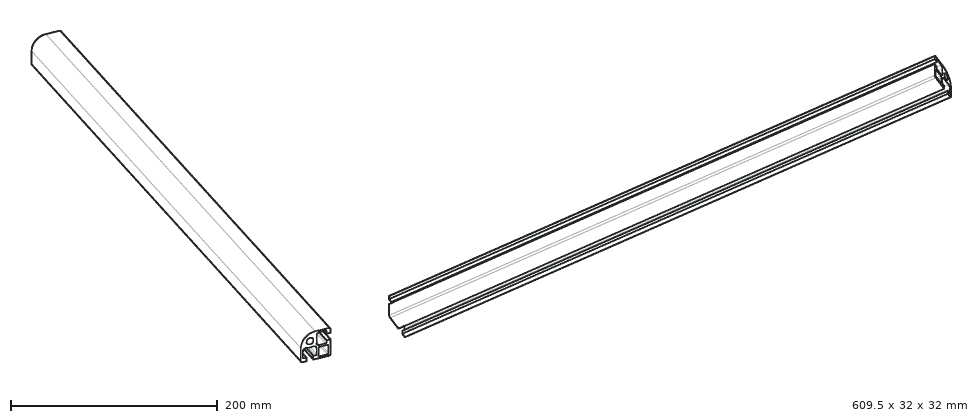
import cadquery as cq
import math

length = 609.5
side = 32.0
wall = 2.2
edge_radius = 2.0

corner_radius = 15.0
arc_center = side - corner_radius

chamber_end = 13.0
cavity_start = chamber_end + wall
cavity_end = side - wall
cavity_radius = 3.0
chamber_radius = 1.0

lip_depth = 4.0
lip_radius = 1.0
slot_width = 7.5
slot_center = 22.0
bore_diameter = 7.5
overcut = 6.0


def place(across, up):
    """Turn section coordinates into centred Y and Z."""
    return (side / 2 - across, up - side / 2)


def extrude_outline(points):
    """Extrude a closed polygon given in section coordinates along the whole length."""
    outline = [place(across, up) for across, up in points]
    return cq.Workplane("YZ").workplane(offset=-length / 2).polyline(outline).close().extrude(length)


def swap_axes(points):
    """Mirror section points about the diagonal."""
    return [(up, across) for across, up in points]


def rectangle(across_min, up_min, across_max, up_max):
    return [(across_min, up_min), (across_max, up_min), (across_max, up_max), (across_min, up_max)]


def make_body():
    """Square bar with one large rounded corner and small radii on the other edges."""
    arc_middle = arc_center + corner_radius * math.sqrt(0.5)
    sharp_body = (
        cq.Workplane("YZ")
        .workplane(offset=-length / 2)
        .moveTo(*place(0, 0))
        .lineTo(*place(0, side))
        .lineTo(*place(arc_center, side))
        .threePointArc(place(arc_middle, arc_middle), place(side, arc_center))
        .lineTo(*place(side, 0))
        .close()
        .extrude(length)
    )
    rounded_body = sharp_body.edges("|X and >Y").fillet(edge_radius)
    return rounded_body.edges("|X and <Z").edges("<Y").fillet(edge_radius)


slot_cavity = rectangle(lip_depth, cavity_start, cavity_start, cavity_end)
slot_mouth = rectangle(
    -overcut, slot_center - slot_width / 2, lip_depth + wall, slot_center + slot_width / 2
)

result = make_body()

side_cavity = (
    extrude_outline(slot_cavity)
    .edges("|X and <Y")
    .fillet(cavity_radius)
    .edges("|X and >Y")
    .fillet(lip_radius)
)
bottom_cavity = (
    extrude_outline(swap_axes(slot_cavity))
    .edges("|X and >Z")
    .fillet(cavity_radius)
    .edges("|X and <Z")
    .fillet(lip_radius)
)
result = result.cut(side_cavity).cut(bottom_cavity)
result = result.cut(extrude_outline(slot_mouth)).cut(extrude_outline(swap_axes(slot_mouth)))

chamber = extrude_outline(rectangle(wall, wall, chamber_end, chamber_end))
result = result.cut(chamber.edges("|X").fillet(chamber_radius))

bore = (
    cq.Workplane("YZ")
    .workplane(offset=-length / 2)
    .center(*place(slot_center, slot_center))
    .circle(bore_diameter / 2)
    .extrude(length)
)
result = result.cut(bore)